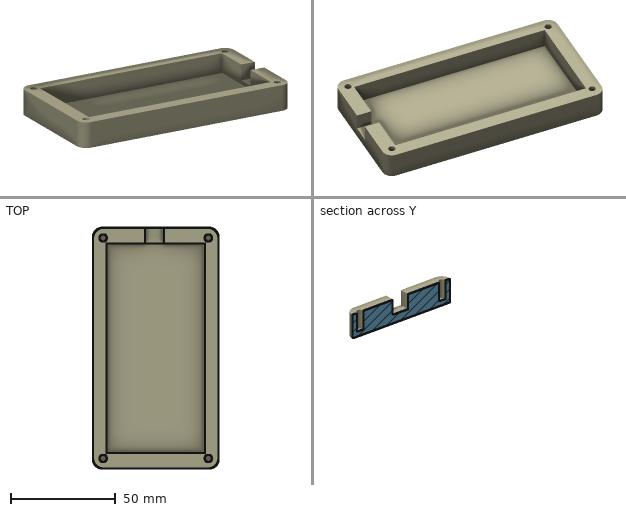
import cadquery as cq

width = 60.0
length = 115.0
height = 13.0
corner_radius = 5.0

pocket_width = 47.0
pocket_length = 100.0
pocket_depth = 10.0

notch_width = 9.0
notch_offset = -0.6
notch_depth = 8.0

hole_diameter = 3.5
hole_depth = pocket_depth


def make_block():
    block = cq.Workplane("XY").box(width, length, height, centered=(True, True, False))
    return block.edges("|Z").fillet(corner_radius)


def cut_pocket(body):
    pocket = (
        cq.Workplane("XY", origin=(0, 0, height))
        .rect(pocket_width, pocket_length)
        .extrude(-pocket_depth)
    )
    return body.cut(pocket)


def cut_notch(body):
    wall = (length - pocket_length) / 2
    notch = (
        cq.Workplane("XY", origin=(notch_offset, (length - wall) / 2, height - notch_depth))
        .box(notch_width, wall, notch_depth, centered=(True, True, False))
    )
    return body.cut(notch)


def cut_screw_holes(body):
    spacing_x = width - 2 * corner_radius
    spacing_y = length - 2 * corner_radius
    holes = (
        cq.Workplane("XY", origin=(0, 0, height))
        .rect(spacing_x, spacing_y, forConstruction=True)
        .vertices()
        .circle(hole_diameter / 2)
        .extrude(-hole_depth)
    )
    return body.cut(holes)


result = cut_screw_holes(cut_notch(cut_pocket(make_block())))